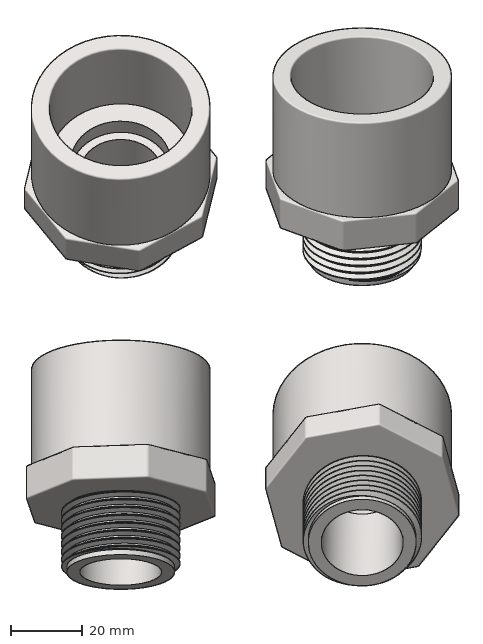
import cadquery as cq
import math

total_height = 60.3
nut_bottom = 19.0
nut_height = 9.95
nut_top = nut_bottom + nut_height
nut_middle = nut_bottom + nut_height / 2

nut_sides = 8
nut_across_flats = 51.0
nut_corner_radius = 1.2
edge_radius = 0.5

socket_outer_diameter = 50.15
socket_bore_diameter = 40.0
socket_depth = 26.05
socket_floor = total_height - socket_depth

step_diameter = 28.0
step_floor = nut_top
through_bore_diameter = 23.0

thread_root_diameter = 30.3
thread_crest_diameter = 33.3
ten_turn_length = 23.1
thread_pitch = ten_turn_length / 10
thread_flank_angle = 55.0
thread_start = 1.5
first_crest = 1.6
crest_flat = 0.25
root_overlap = 0.1


def make_nut():
    """Octagon with flats square to X and Y, all edges rounded."""
    circumscribed_diameter = nut_across_flats / math.cos(math.pi / nut_sides)
    nut = (
        cq.Workplane("XY")
        .workplane(offset=nut_bottom)
        .transformed(rotate=(0, 0, 180 / nut_sides))
        .polygon(nut_sides, circumscribed_diameter)
        .extrude(nut_height)
    )
    nut = nut.edges("|Z").fillet(nut_corner_radius)
    return nut.faces("<Z or >Z").edges().fillet(edge_radius)


def make_cylinder(diameter, bottom, top):
    """Solid cylinder on the Z axis between two heights."""
    return cq.Workplane("XY").workplane(offset=bottom).circle(diameter / 2).extrude(top - bottom)


def make_thread():
    """Helical ridge, trimmed flat at its lower end and ending inside the nut."""
    helix_start = first_crest - thread_pitch
    turns = math.ceil((nut_middle - helix_start) / thread_pitch) + 1
    inner_radius = thread_root_diameter / 2 - root_overlap
    crest_radius = thread_crest_diameter / 2
    flank_rise = (crest_radius - inner_radius) * math.tan(math.radians(thread_flank_angle / 2))
    half_crest = crest_flat / 2
    half_base = half_crest + flank_rise

    helix = cq.Wire.makeHelix(
        thread_pitch, turns * thread_pitch, inner_radius, center=cq.Vector(0, 0, helix_start)
    )
    profile = cq.Workplane("XZ").polyline(
        [
            (inner_radius, helix_start - half_base),
            (crest_radius, helix_start - half_crest),
            (crest_radius, helix_start + half_crest),
            (inner_radius, helix_start + half_base),
        ]
    ).close()
    ridge = profile.sweep(cq.Workplane(obj=helix), isFrenet=True)
    trim_diameter = thread_crest_diameter + thread_pitch
    return ridge.intersect(make_cylinder(trim_diameter, thread_start, nut_middle))


def make_socket():
    """Socket cylinder, solid below the socket floor, with a rounded rim inside and out."""
    outside = make_cylinder(socket_outer_diameter, nut_middle, total_height)
    cavity = make_cylinder(socket_bore_diameter, socket_floor, total_height)
    return outside.cut(cavity).faces(">Z").edges().fillet(edge_radius)


core = make_cylinder(thread_root_diameter, 0, nut_top)
threaded_end = core.union(make_thread())
body = threaded_end.union(make_nut()).union(make_socket())

step = make_cylinder(step_diameter, step_floor, socket_floor)
through_bore = make_cylinder(through_bore_diameter, 0, socket_floor)
result = body.cut(step).cut(through_bore)